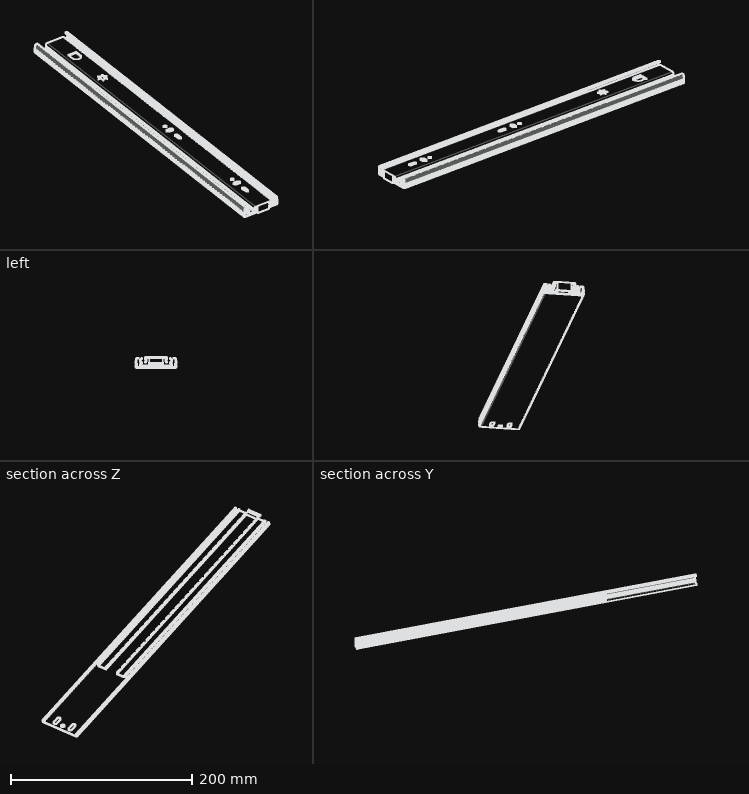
import cadquery as cq
import math


outer_length = 398.7
outer_width = 45.5
outer_height = 11.5
outer_sheet = 1.2
outer_corner = 2.0
outer_inside_radius = 0.5
lip_width = 4.0

groove_inset = 1.0
shoulder_inset = 0.5
groove_mouth_low = 2.5
groove_floor_low = 3.0
groove_floor_high = 4.0
groove_mouth_high = 5.0
shoulder_low = 6.5
shoulder_high = 8.0

floor_hole_diameter = 4.0
floor_hole_edge_x = 4.0
floor_slot_length = 11.5
floor_slot_y = 9.5

middle_start = 106.5
middle_length = outer_length - middle_start
middle_bottom = 1.5
middle_sheet = 1.2
middle_web_top = 5.5
middle_web_half_width = 8.0
middle_half_width = 17.8
middle_pinch_half_width = 16.5
middle_rim_half_width = 15.8
middle_lower_bulge_low = 3.0
middle_lower_bulge_high = 4.0
middle_pinch_height = 5.5
middle_upper_bulge_low = 7.0
middle_upper_bulge_high = 9.3

inner_start = 7.0
inner_end = 404
inner_length = inner_end - inner_start
inner_top = 12.5
inner_sheet = 1.5
inner_half_width = 12.5
inner_corner = 2.0
inner_neck_half_width = 11.7
inner_shoulder_height = 9.5
inner_neck_high = 9.0
inner_neck_low = 8.0
inner_foot_height = 6.5

tongue_width = 15.5
tongue_thickness = 2.5
tongue_bottom = 3.0

latch_start = 39.5
latch_end = 53.0
latch_width = 11.0
star_x = 97.8
star_radius = 5.5
star_points = 6
screw_hole_diameter = 3.5
first_screw_x = 216.5
screw_pitch = 128.0
cross_slot_offset = 9.0
cross_slot_length = 8.5
cross_slot_width = 5.0
long_slot_offset = 24.5
long_slot_length = 9.5
long_slot_width = 3.5


def mitred_offset(points, thickness):
    """Offset an open (y, z) path to its left, or right if negative, with mitred corners."""
    directions = []
    for (y0, z0), (y1, z1) in zip(points, points[1:]):
        length = math.hypot(y1 - y0, z1 - z0)
        directions.append(((y1 - y0) / length, (z1 - z0) / length))
    before = [directions[0]] + directions
    after = directions + [directions[-1]]
    shifted = []
    for (y, z), (ay, az), (by, bz) in zip(points, before, after):
        mitre = thickness / (1 + ay * by + az * bz)
        shifted.append((y - mitre * (az + bz), z + mitre * (ay + by)))
    return shifted


def sheet_rail(half_path, thickness, start, length):
    """Extrude a symmetric bent sheet along X from the +Y half of its outer face."""
    mirrored = [(-y, z) for y, z in reversed(half_path)]
    outer_face = mirrored + half_path
    inner_face = mitred_offset(outer_face, thickness)
    outline = outer_face + inner_face[::-1]
    return cq.Workplane("YZ", origin=(start, 0, 0)).polyline(outline).close().extrude(length)


def round_bends(rail, y, z, radius):
    """Fillet the pair of lengthwise edges at (-y, z) and (y, z)."""
    middle_x = rail.val().Center().x
    for side in (-1, 1):
        edge = cq.selectors.NearestToPointSelector((middle_x, side * y, z))
        rail = rail.edges("|X").edges(edge).fillet(radius)
    return rail


def make_outer_rail():
    half_width = outer_width / 2
    groove_y = half_width - groove_inset
    shoulder_y = half_width - shoulder_inset
    half_path = [
        (half_width, 0),
        (half_width, groove_mouth_low),
        (groove_y, groove_floor_low),
        (groove_y, groove_floor_high),
        (half_width, groove_mouth_high),
        (half_width, shoulder_low),
        (shoulder_y, shoulder_high),
        (shoulder_y, outer_height),
        (half_width - lip_width, outer_height),
    ]
    rail = sheet_rail(half_path, outer_sheet, 0, outer_length)

    for y, z in ((half_width, 0), (shoulder_y, outer_height)):
        rail = round_bends(rail, y, z, outer_corner)
    for y, z in ((half_width, outer_sheet), (shoulder_y, outer_height - outer_sheet)):
        rail = round_bends(rail, y - outer_sheet, z, outer_inside_radius)

    hole = (
        cq.Workplane("XY")
        .center(floor_hole_edge_x + floor_hole_diameter / 2, 0)
        .circle(floor_hole_diameter / 2)
        .extrude(outer_sheet)
    )
    slot_x = floor_hole_edge_x + floor_slot_length / 2
    slots = (
        cq.Workplane("XY")
        .pushPoints([(slot_x, -floor_slot_y), (slot_x, floor_slot_y)])
        .slot2D(floor_slot_length, floor_hole_diameter)
        .extrude(outer_sheet)
    )
    return rail.cut(hole).cut(slots)


def make_middle_rail():
    web_bottom = middle_web_top - middle_sheet
    half_path = [
        (middle_web_half_width - middle_sheet, web_bottom),
        (middle_web_half_width - middle_sheet, middle_bottom),
        (middle_pinch_half_width, middle_bottom),
        (middle_half_width, middle_lower_bulge_low),
        (middle_half_width, middle_lower_bulge_high),
        (middle_pinch_half_width, middle_pinch_height),
        (middle_half_width, middle_upper_bulge_low),
        (middle_half_width, middle_upper_bulge_high),
        (middle_rim_half_width, outer_height),
    ]
    return sheet_rail(half_path, middle_sheet, middle_start, middle_length)


def screw_openings(x):
    """Round hole, crosswise slot and lengthwise slot that serve one mounting screw place."""
    round_hole = cq.Workplane("XY").center(x, 0).circle(screw_hole_diameter / 2)
    cross_slot = cq.Workplane("XY").center(x + cross_slot_offset, 0)
    cross_slot = cross_slot.slot2D(cross_slot_length, cross_slot_width, 90)
    long_slot = cq.Workplane("XY").center(x + long_slot_offset, 0)
    long_slot = long_slot.slot2D(long_slot_length, long_slot_width)
    return [sketch.extrude(inner_top) for sketch in (round_hole, cross_slot, long_slot)]


def latch_opening():
    """D-shaped opening, flat towards -X and round towards +X."""
    radius = latch_width / 2
    arc_x = latch_end - radius
    return (
        cq.Workplane("XY")
        .moveTo(latch_start, -radius)
        .lineTo(arc_x, -radius)
        .threePointArc((latch_end, 0), (arc_x, radius))
        .lineTo(latch_start, radius)
        .close()
        .extrude(inner_top)
    )


def star_opening():
    """Star made of two crossed equilateral triangles, with tips along Y."""
    notch_radius = star_radius / math.sqrt(3)
    outline = []
    for corner in range(2 * star_points):
        radius = star_radius if corner % 2 == 0 else notch_radius
        angle = math.pi / 2 + corner * math.pi / star_points
        outline.append((star_x + radius * math.cos(angle), radius * math.sin(angle)))
    return cq.Workplane("XY").polyline(outline).close().extrude(inner_top)


def make_inner_rail():
    half_path = [
        (inner_half_width, inner_top),
        (inner_half_width, inner_shoulder_height),
        (inner_neck_half_width, inner_neck_high),
        (inner_neck_half_width, inner_neck_low),
        (inner_half_width, inner_foot_height),
    ]
    rail = sheet_rail(half_path, -inner_sheet, inner_start, inner_length)
    rail = round_bends(rail, inner_half_width, inner_top, inner_corner)
    rail = round_bends(
        rail, inner_half_width - inner_sheet, inner_top - inner_sheet, inner_corner - inner_sheet
    )

    tongue_height = inner_top - inner_sheet / 2 - tongue_bottom
    tongue = cq.Workplane("XY").box(
        tongue_thickness, tongue_width, tongue_height, centered=(False, True, False)
    )
    rail = rail.union(tongue.translate((inner_end - tongue_thickness, 0, tongue_bottom)))

    openings = [latch_opening(), star_opening()]
    for x in (first_screw_x, first_screw_x + screw_pitch):
        openings += screw_openings(x)
    for opening in openings:
        rail = rail.cut(opening)
    return rail


outer_rail = make_outer_rail()
middle_rail = make_middle_rail()
inner_rail = make_inner_rail()

result = cq.Compound.makeCompound([outer_rail.val(), middle_rail.val(), inner_rail.val()])